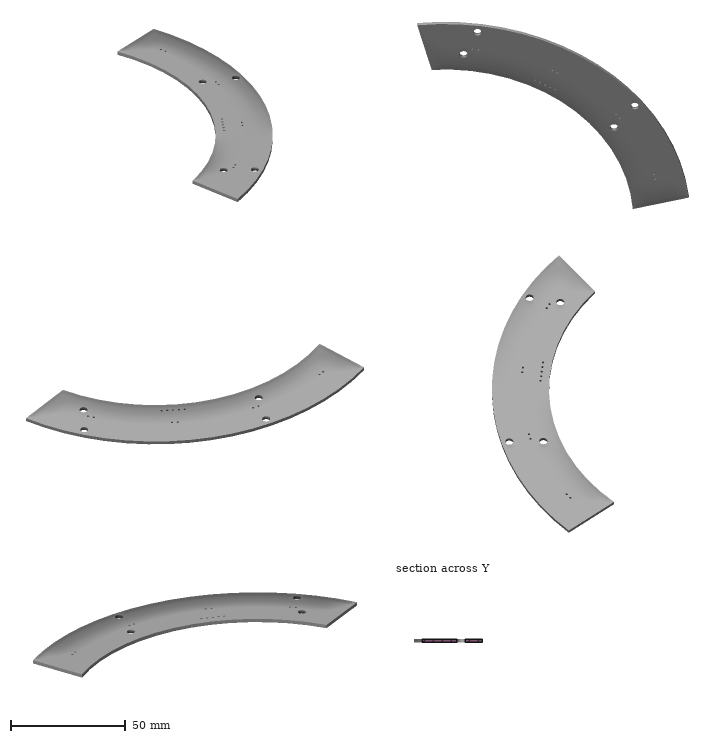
import cadquery as cq
import math

THICKNESS = 1.6
OUTER_RADIUS = 107.5
INNER_RADIUS = 82.5
END_OFFSET = 15.0
MID_ANGLE = 45.0

MOUNT_DIAMETER = 3.5
MOUNT_POSITIONS = [(104.0, 67.6), (104.0, 22.4), (89.7, 70.1), (91.2, 19.65)]

PIN_DIAMETER = 1.0
PIN_PITCH = 2.54
PAIR_RADIUS = 94.65
PAIR_COUNT = 4
PAIR_PINS = 2
PAIR_STEP_ANGLE = 22.5
HEADER_RADIUS = 86.2
HEADER_ANGLE = MID_ANGLE
HEADER_PINS = 5


def polar(radius, angle):
    """XY point at a radius and an angle in degrees."""
    return radius * math.cos(math.radians(angle)), radius * math.sin(math.radians(angle))


def pin_row(radius, angle, count):
    """Evenly pitched points on the tangent line, centred on (radius, angle)."""
    centre_x, centre_y = polar(radius, angle)
    step_x, step_y = polar(PIN_PITCH, angle - 90.0)
    offsets = [i - (count - 1) / 2 for i in range(count)]
    return [(centre_x + k * step_x, centre_y + k * step_y) for k in offsets]


def board_blank():
    """Ring sector cut off by one vertical and one horizontal end."""
    outer_reach = math.sqrt(OUTER_RADIUS**2 - END_OFFSET**2)
    inner_reach = math.sqrt(INNER_RADIUS**2 - END_OFFSET**2)
    return (
        cq.Workplane("XY")
        .moveTo(-END_OFFSET, inner_reach)
        .lineTo(-END_OFFSET, outer_reach)
        .threePointArc(polar(OUTER_RADIUS, MID_ANGLE), (outer_reach, END_OFFSET))
        .lineTo(inner_reach, END_OFFSET)
        .threePointArc(polar(INNER_RADIUS, MID_ANGLE), (-END_OFFSET, inner_reach))
        .close()
        .extrude(THICKNESS)
    )


def drill(board, points, diameter):
    """Drill through holes at the given points."""
    drills = cq.Workplane("XY").pushPoints(points).circle(diameter / 2).extrude(THICKNESS)
    return board.cut(drills)


mount_points = [polar(radius, angle) for radius, angle in MOUNT_POSITIONS]
pin_points = pin_row(HEADER_RADIUS, HEADER_ANGLE, HEADER_PINS)
for i in range(PAIR_COUNT):
    pin_points += pin_row(PAIR_RADIUS, (i + 1) * PAIR_STEP_ANGLE, PAIR_PINS)

result = board_blank()
result = drill(result, mount_points, MOUNT_DIAMETER)
result = drill(result, pin_points, PIN_DIAMETER)